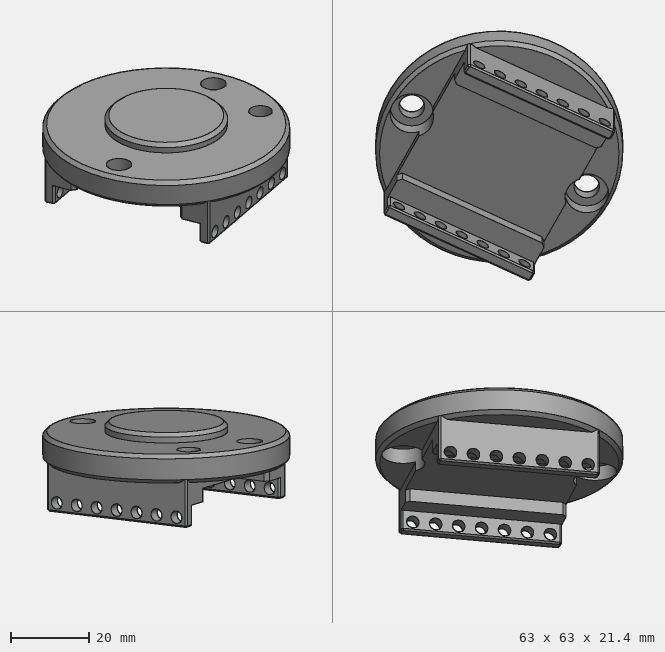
import cadquery as cq
import math

disc_diameter = 63.0
disc_thickness = 7.5
boss_diameter = 31.3
boss_height = 2.5
rim_chamfer = 1.0

base_length = 48.0
base_width = 41.95
web_depth = 2.5
step_depth = 6.0
step_gap = 30.25
step_inner_chamfer = 1.0
leg_depth = 11.45
leg_thickness = 3.0
leg_chamfer = 0.5
leg_bottom_chamfer = 0.45

leg_hole_diameter = 3.2
leg_hole_count = 7
leg_hole_pitch = 6.0
leg_hole_height = 2.45

hole_circle_radius = 25.0
bolt_hole_diameter = 6.5
bolt_seat_thickness = 3.5
counterbore_diameter = 11.0
bolt_hole_angles = (90.0, 270.0)
pin_hole_diameter = 6.0
pin_hole_depth = 6.0
pin_hole_angle = 45.0


def box_between(x_start, x_end, z_bottom, z_top):
    """Box over the full base width between two X and two Z positions."""
    length = x_end - x_start
    height = z_top - z_bottom
    box = cq.Workplane("XY").box(length, base_width, height, centered=(False, True, False))
    return box.translate((x_start, 0, z_bottom))


def cylinder_on_circle(diameter, angle, z_bottom, z_top):
    """Vertical cylinder centred on the hole circle at an angle from +X."""
    x = hole_circle_radius * math.cos(math.radians(angle))
    y = hole_circle_radius * math.sin(math.radians(angle))
    cylinder = cq.Workplane("XY").circle(diameter / 2).extrude(z_top - z_bottom)
    return cylinder.translate((x, y, z_bottom))


def make_disc():
    """Disc with both rims chamfered and a chamfered boss on top."""
    disc = cq.Workplane("XY").circle(disc_diameter / 2).extrude(disc_thickness)
    disc = disc.edges().chamfer(rim_chamfer)
    boss = cq.Workplane("XY").circle(boss_diameter / 2).extrude(disc_thickness + boss_height)
    boss = boss.faces(">Z").edges().chamfer(rim_chamfer)
    return disc.union(boss)


def make_web():
    """Web whose upper part fills the space beside the disc's lower chamfer."""
    half_length = base_length / 2
    web = box_between(-half_length, half_length, -web_depth, rim_chamfer)
    return web.edges("|Z").chamfer(leg_chamfer)


def make_end():
    """Step and leg at the +X end of the base."""
    half_length = base_length / 2
    step = box_between(step_gap / 2, half_length, -step_depth, -web_depth)
    step = step.edges("|Z and <X").chamfer(step_inner_chamfer)
    step = step.edges("|Z and >X").chamfer(leg_chamfer)
    leg = box_between(half_length - leg_thickness, half_length, -leg_depth, -step_depth)
    leg = leg.edges("|Z").chamfer(leg_chamfer)
    leg = leg.faces("<Z").edges().chamfer(leg_bottom_chamfer)
    return step.union(leg)


def make_leg_holes():
    """Row of cylinders along X that cross both legs."""
    return (
        cq.Workplane("YZ")
        .workplane(offset=-base_length / 2)
        .center(0, leg_hole_height - leg_depth)
        .rarray(leg_hole_pitch, 0.6, leg_hole_count, 1)
        .circle(leg_hole_diameter / 2)
        .extrude(base_length)
    )


end = make_end()
result = make_disc().union(make_web()).union(end).union(end.mirror("YZ"))
result = result.cut(make_leg_holes())

seat_z = disc_thickness - bolt_seat_thickness
for angle in bolt_hole_angles:
    result = result.cut(cylinder_on_circle(bolt_hole_diameter, angle, seat_z, disc_thickness))
    result = result.cut(cylinder_on_circle(counterbore_diameter, angle, -web_depth, seat_z))

pin_floor_z = disc_thickness - pin_hole_depth
result = result.cut(cylinder_on_circle(pin_hole_diameter, pin_hole_angle, pin_floor_z, disc_thickness))